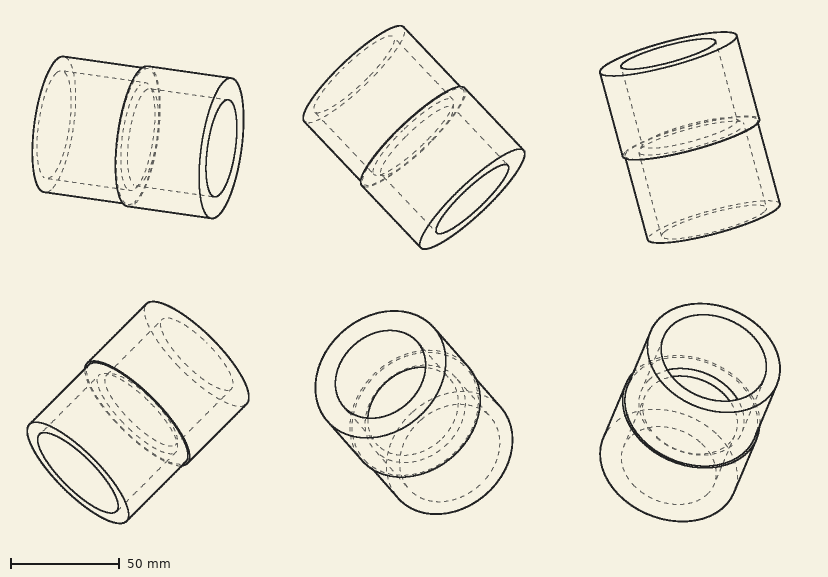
import cadquery as cq

length = 81.0
step_position = length / 2
spigot_diameter = 63.0
collar_diameter = 65.1

bore_entry_diameter = 50.0
bore_exit_diameter = 45.0
cone_start = step_position
cone_length = (bore_entry_diameter - bore_exit_diameter) / 2

half_section = [
    (0, bore_entry_diameter / 2),
    (0, spigot_diameter / 2),
    (step_position, spigot_diameter / 2),
    (step_position, collar_diameter / 2),
    (length, collar_diameter / 2),
    (length, bore_exit_diameter / 2),
    (cone_start + cone_length, bore_exit_diameter / 2),
    (cone_start, bore_entry_diameter / 2),
]

result = (
    cq.Workplane("XY")
    .polyline(half_section)
    .close()
    .revolve(360, (0, 0, 0), (1, 0, 0))
)